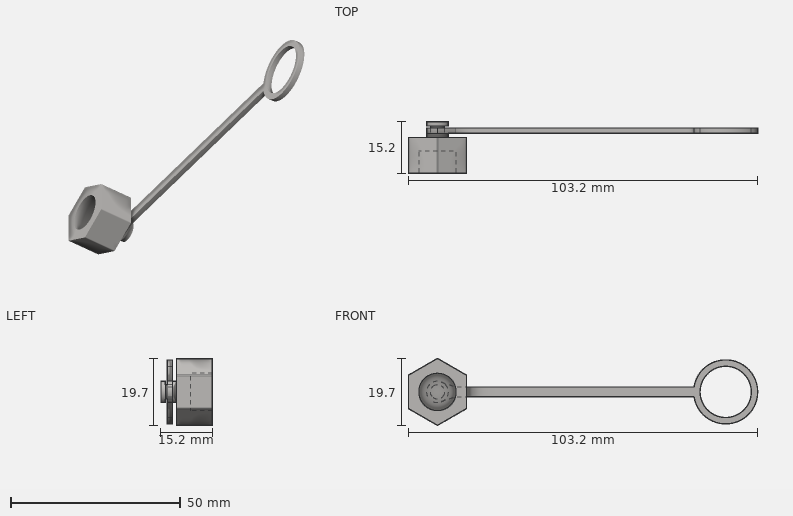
import cadquery as cq
import math

TOTAL_LENGTH = 103.2

NUT_HEIGHT = 19.7
NUT_CORNER_RADIUS = 0.4
CORNER_TRIM = NUT_CORNER_RADIUS * (1 / math.cos(math.pi / 6) - 1)
NUT_SHARP_WIDTH = NUT_HEIGHT + 2 * CORNER_TRIM
NUT_FLAT_WIDTH = NUT_SHARP_WIDTH * math.cos(math.pi / 6)
NUT_LENGTH = 10.6
BORE_DIAMETER = 11.0
BORE_DEPTH = 6.5

RIVET_DIAMETER = 6.4
NECK_DIAMETER = 4.2
SHOULDER_LENGTH = 1.1
HEAD_START = 3.3
RIVET_LENGTH = 4.6

STRAP_THICKNESS = 1.7
STRAP_WIDTH = 3.0
EYELET_DIAMETER = RIVET_DIAMETER
TAPER_END = 5.3
RING_OUTER_DIAMETER = 19.0
RING_INNER_DIAMETER = 15.1
RING_CENTER = TOTAL_LENGTH - NUT_FLAT_WIDTH / 2 - RING_OUTER_DIAMETER / 2


def plane_at(y):
    """Plane whose normal is +Y and whose local axes are +Z and +X."""
    return cq.Workplane(cq.Plane(origin=(0, y, 0), xDir=(0, 0, 1), normal=(0, 1, 0)))


def disc(diameter, start, end, x=0):
    """Cylinder along Y between two Y positions."""
    return plane_at(start).center(0, x).circle(diameter / 2).extrude(end - start)


def make_nut():
    """Hexagon with rounded corners, two of them at top and bottom, and a blind bore open at the front."""
    body = plane_at(-NUT_LENGTH).polygon(6, NUT_SHARP_WIDTH).extrude(NUT_LENGTH)
    body = body.edges("|Y").fillet(NUT_CORNER_RADIUS)
    return body.cut(disc(BORE_DIAMETER, -NUT_LENGTH, BORE_DEPTH - NUT_LENGTH))


def make_rivet():
    """Shoulder against the nut, neck through the strap and a round head."""
    shoulder = disc(RIVET_DIAMETER, 0, SHOULDER_LENGTH)
    neck = disc(NECK_DIAMETER, SHOULDER_LENGTH, HEAD_START)
    head = disc(RIVET_DIAMETER, HEAD_START, RIVET_LENGTH)
    return shoulder.union(neck).union(head)


def make_strap():
    """Flat strap: a half-round eyelet, a taper, a narrow band and the ring."""
    start = SHOULDER_LENGTH
    end = start + STRAP_THICKNESS
    eyelet_radius = EYELET_DIAMETER / 2
    half_width = STRAP_WIDTH / 2
    band = (
        plane_at(start)
        .moveTo(eyelet_radius, 0)
        .lineTo(half_width, TAPER_END)
        .lineTo(half_width, RING_CENTER)
        .lineTo(-half_width, RING_CENTER)
        .lineTo(-half_width, TAPER_END)
        .lineTo(-eyelet_radius, 0)
        .threePointArc((0, -eyelet_radius), (eyelet_radius, 0))
        .close()
        .extrude(STRAP_THICKNESS)
    )
    strap = band.union(disc(RING_OUTER_DIAMETER, start, end, RING_CENTER))
    strap = strap.cut(disc(RING_INNER_DIAMETER, start, end, RING_CENTER))
    return strap.cut(disc(NECK_DIAMETER, start, end))


nut = make_nut()
rivet = make_rivet()
strap = make_strap()

result = cq.Compound.makeCompound([nut.val(), rivet.val(), strap.val()])